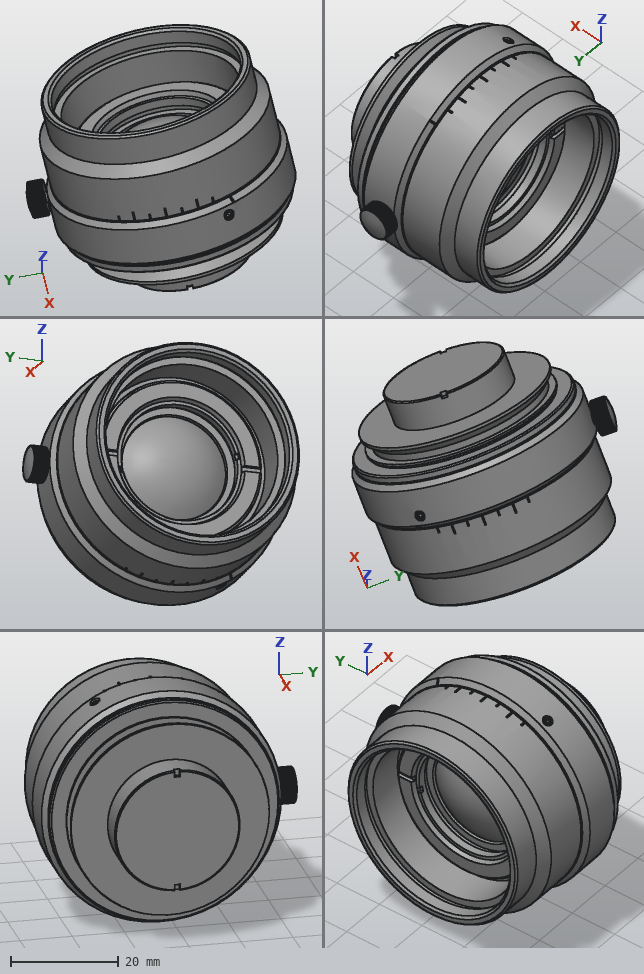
import cadquery as cq
import math


front_radius = 20.0
front_chamfer = 0.4
front_length = 6.0
barrel_radius = 22.0
barrel_start = front_length + barrel_radius - front_radius
barrel_end = 17.3

gap_depth = 0.15
gap_radius = barrel_radius - gap_depth
gap_width = 0.25
collar_radius = 23.0
collar_chamfer = collar_radius - barrel_radius
collar_start = barrel_end + gap_width
collar_end = 26.95

body_start = collar_end + gap_width
body_end = 28.65
body_chamfer = 0.3
flange_radius = 19.0
spacer_radius = 18.75
flange_start = 29.1
flange_end = 29.6
groove_radius = 17.5
groove_end = 30.95
mount_end = 33.1
tube_radius = 12.0
tube_chamfer = 0.25
total_length = 39.05

mouth_radius = 18.6
mouth_chamfer = 0.5
mouth_bore_radius = mouth_radius - mouth_chamfer
mouth_bore_end = 3.0
mouth_relief_radius = 18.5
mouth_relief_end = 4.05
bore_radius = 17.0
bore_end = 11.5
ring_face = 10.0
ring_base_radius = 16.0
ring_chamfer = 0.5
ring_hole_radius = 12.6
lip_radius = 12.2
lip_face = 11.0
cell_radius = 11.5
cell_end = 12.7
cell_relief_radius = 11.9
cell_floor = 13.75
seat_radius = 10.4
lens_edge_radius = 10.25
lens_edge = 14.35
lens_curvature = 15.15

slot_width = 1.1
ring_slot_depth = 0.85
lip_slot_depth = 0.75
lip_slot_angle = -13.0
tube_slot_depth = 0.85
tube_slot_floor_radius = 10.75

screw_position = 20.5
stem_radius = 2.05 / 2
knob_radius = 3.45
knob_bottom = 23.5
knob_rim = 26.5
knob_top = 27.0
knob_chamfer = 0.2
knurl_count = 40
knurl_depth = 0.2
set_screw_angles = (120, 240)
set_screw_hole_radius = 2.05 / 2
set_screw_face_radius = 1.7 / 2
set_screw_recess = 0.35
hex_width = 1.0
hex_depth = 1.0

tick_width = 0.25
tick_height = 0.05
short_tick = 1.15
long_tick = 1.95
tick_spacing = 8.0
tick_count = 7
scale_middle_angle = 89.2
index_angle = 56.0
index_width = 0.3
index_depth = 0.15


def dome_sag(curvature, radius):
    """Drop of a spherical dome below its top at the given distance from its axis."""
    return curvature - math.sqrt(curvature**2 - radius**2)


def turned(outline):
    """Revolve a closed (x, radius) outline about the X axis."""
    return outline.close().revolve(360, (0, 0, 0), (1, 0, 0))


def about_x(solid, angle):
    """Turn a solid about the X axis, moving +Y towards +Z."""
    return solid.rotate((0, 0, 0), (1, 0, 0), angle)


def radial_box(x_start, x_end, inner, outer, width, angle):
    """Box that spans inner..outer along the radius at the given angle."""
    box = cq.Workplane("XY").box(x_end - x_start, outer - inner, width, centered=(False, False, True))
    return about_x(box.translate((x_start, inner, 0)), angle)


def opposite_boxes(x_start, x_end, inner, outer, width, angle):
    """Two radial boxes half a turn apart."""
    return [radial_box(x_start, x_end, inner, outer, width, turn) for turn in (angle, angle + 180)]


def outer_body():
    outline = cq.Workplane("XY").polyline([
        (0, 0),
        (0, front_radius - front_chamfer),
        (front_chamfer, front_radius),
        (front_length, front_radius),
        (barrel_start, barrel_radius),
        (barrel_end, barrel_radius),
        (barrel_end, gap_radius),
        (collar_start, gap_radius),
        (collar_start, barrel_radius),
        (collar_start + collar_chamfer, collar_radius),
        (collar_end - collar_chamfer, collar_radius),
        (collar_end, barrel_radius),
        (collar_end, gap_radius),
        (body_start, gap_radius),
        (body_start, barrel_radius),
        (body_end - body_chamfer, barrel_radius),
        (body_end, barrel_radius - body_chamfer),
        (body_end, spacer_radius),
        (flange_start, spacer_radius),
        (flange_start, flange_radius),
        (flange_end, flange_radius),
        (flange_end, groove_radius),
        (groove_end, groove_radius),
        (groove_end + flange_radius - groove_radius, flange_radius),
        (mount_end, flange_radius),
        (mount_end, tube_radius),
        (total_length - tube_chamfer, tube_radius),
        (total_length, tube_radius - tube_chamfer),
        (total_length, 0),
    ])
    return turned(outline)


def front_cavity():
    """Space in front of the lens, bounded by the stepped bore and the domed glass."""
    lens_apex = lens_edge - dome_sag(lens_curvature, lens_edge_radius)
    half_radius = lens_edge_radius / 2
    half_x = lens_apex + dome_sag(lens_curvature, half_radius)
    outline = cq.Workplane("XY").polyline([
        (0, 0),
        (0, mouth_radius),
        (mouth_chamfer, mouth_bore_radius),
        (mouth_bore_end, mouth_bore_radius),
        (mouth_bore_end, mouth_relief_radius),
        (mouth_relief_end, mouth_relief_radius),
        (mouth_relief_end, bore_radius),
        (bore_end, bore_radius),
        (bore_end, ring_base_radius),
        (ring_face + ring_chamfer, ring_base_radius),
        (ring_face, ring_base_radius - ring_chamfer),
        (ring_face, ring_hole_radius),
        (lip_face, lip_radius),
        (lip_face, cell_radius),
        (cell_end, cell_radius),
        (cell_end, cell_relief_radius),
        (cell_floor, cell_relief_radius),
        (cell_floor, seat_radius),
        (lens_edge, lens_edge_radius),
    ]).threePointArc((half_x, half_radius), (lens_apex, 0))
    return turned(outline)


def spanner_slots():
    ring = opposite_boxes(
        ring_face, ring_face + ring_slot_depth, lip_radius, ring_base_radius, slot_width, 0)
    lip = opposite_boxes(
        lip_face, lip_face + lip_slot_depth, seat_radius, lip_radius, slot_width, lip_slot_angle)
    tube = opposite_boxes(
        total_length - tube_slot_depth, total_length,
        tube_slot_floor_radius, tube_radius, slot_width, 90)
    return ring + lip + tube


def locking_screw():
    """Knurled thumb screw standing on the +Y side of the collar."""
    dome_radius = knob_radius - knob_chamfer
    dome_height = knob_top - knob_rim
    dome_curvature = (dome_radius**2 + dome_height**2) / (2 * dome_height)
    half_radius = dome_radius / 2
    knob = (
        cq.Workplane("XY")
        .moveTo(0, knob_bottom)
        .lineTo(knob_radius - knob_chamfer, knob_bottom)
        .lineTo(knob_radius, knob_bottom + knob_chamfer)
        .lineTo(knob_radius, knob_rim - knob_chamfer)
        .lineTo(dome_radius, knob_rim)
        .threePointArc((half_radius, knob_top - dome_sag(dome_curvature, half_radius)), (0, knob_top))
        .close()
        .revolve(360, (0, 0, 0), (0, 1, 0))
    )
    knurls = (
        cq.Workplane("XZ", origin=(0, knob_bottom, 0))
        .polarArray(knob_radius, 0, 360, knurl_count)
        .polygon(4, 2 * knurl_depth)
        .extrude(knob_bottom - knob_top)
    )
    stem = (
        cq.Workplane("XZ", origin=(0, gap_radius, 0))
        .circle(stem_radius)
        .extrude(gap_radius - knob_rim)
    )
    return knob.cut(knurls).union(stem).translate((screw_position, 0, 0))


def set_screw_pocket(angle):
    """Tapered recess round a set screw, with the hexagon socket below it."""
    face = collar_radius - set_screw_recess
    recess = (
        cq.Workplane("XZ", origin=(screw_position, collar_radius, 0))
        .circle(set_screw_hole_radius)
        .workplane(offset=set_screw_recess)
        .circle(set_screw_face_radius)
        .loft(combine=True)
    )
    socket = (
        cq.Workplane("XZ", origin=(screw_position, face, 0))
        .polygon(6, hex_width, circumscribed=True)
        .extrude(hex_depth)
    )
    return about_x(recess.union(socket), angle)


def aperture_ticks():
    """Short and long raised lines in turn, repeated on the opposite side."""
    ticks = []
    for number in range(tick_count):
        length = long_tick if number % 2 else short_tick
        angle = scale_middle_angle + (number - tick_count // 2) * tick_spacing
        ticks += opposite_boxes(
            barrel_end - length, barrel_end,
            gap_radius, barrel_radius + tick_height, tick_width, angle)
    return ticks


def index_lines():
    """Lines engraved in the front chamfer of the collar."""
    line = (
        cq.Workplane("XY")
        .polyline([
            (collar_start, barrel_radius - index_depth),
            (collar_start, collar_radius),
            (collar_start + collar_chamfer, collar_radius),
            (collar_start + collar_chamfer, collar_radius - index_depth),
        ])
        .close()
        .extrude(index_width / 2, both=True)
    )
    return [about_x(line, turn) for turn in (index_angle, index_angle + 180)]


set_screw_pockets = [set_screw_pocket(angle) for angle in set_screw_angles]

result = outer_body().cut(front_cavity())
for cutter in spanner_slots() + index_lines() + set_screw_pockets:
    result = result.cut(cutter)
for raised_part in aperture_ticks() + [locking_screw()]:
    result = result.union(raised_part)